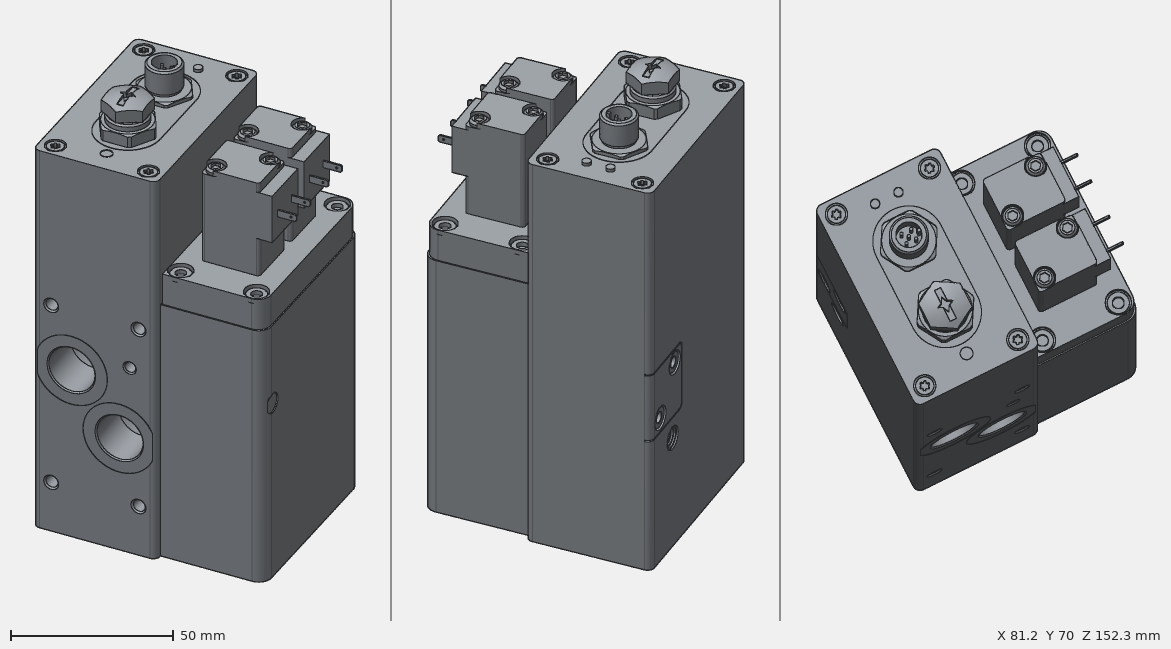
import cadquery as cq
import math

HOUSING_WIDTH = 42.6
HOUSING_DEPTH = 70.0
HOUSING_HEIGHT = 138.9
HOUSING_EDGE_RADIUS = 2.3
HOUSING_MID_X = HOUSING_WIDTH / 2
FRONT_Y = -HOUSING_DEPTH / 2

PORT_CENTERS = [(13.1, 61.2), (29.7, 41.1)]
PORT_DIAMETER = 15.8
PORT_MOUTH_DIAMETER = 16.7
PORT_DEPTH = 15.2
PORT_FACE_DIAMETER = 25.0
PORT_FACE_DEPTH = 0.2
MOUNT_HOLE_SPACING = (30.1, 65.2)
MOUNT_HOLE_CENTER = (21.3, 50.5)
PILOT_HOLE_CENTER = (33.3, 68.0)
MOUNT_HOLE_DIAMETER = 4.1
MOUNT_HOLE_MOUTH_DIAMETER = 5.2
PILOT_HOLE_DIAMETER = 3.7
PILOT_HOLE_MOUTH_DIAMETER = 4.5
MOUNT_HOLE_DEPTH = 7.6
DRILL_POINT_ANGLE = 118.0

TOP_SCREW_SPACING = (32.1, 60.3)
TOP_SCREW_POCKET = 6.9
TOP_SCREW_POCKET_DEPTH = 0.8
TOP_SCREW_HEAD = 5.6
TOP_SCREW_DROP = 0.2
TOP_SCREW_DRIVE = 3.2
TOP_SCREW_DRIVE_DEPTH = 1.5
CONNECTOR_OFFSET = 12.5
RECESS_WIDTH = 22.2
RECESS_DEPTH = 0.2
LAMP_SPACING = 8.0
LAMP_Y = 27.5
LAMP_DIAMETER = 2.9
LAMP_HEIGHT = 1.0
BUTTON_Y = -27.0
BUTTON_DIAMETER = 4.0
BUTTON_DEPTH = 0.3

PANEL_EDGE_Y = 12.5
PANEL_BOTTOM = 47.5
PANEL_TOP = 71.7
PANEL_CORNER_RADIUS = 2.0
PANEL_GROOVE_WIDTH = 0.5
PANEL_GROOVE_DEPTH = HOUSING_EDGE_RADIUS
PANEL_SCREWS = [(17.7, 66.7), (28.2, 52.5)]
PANEL_SCREW_POCKET = 8.0
PANEL_SCREW_POCKET_DEPTH = 1.2
PANEL_SCREW_HEAD = 7.0
PANEL_SCREW_DROP = 0.5
PANEL_SCREW_BORE = 3.7
PANEL_SCREW_BORE_MOUTH = 4.0
PANEL_SCREW_BORE_DEPTH = 1.5
SIDE_HOLE = (19.2, 39.9)
SIDE_HOLE_DIAMETERS = [8.0, 6.9, 5.6, 4.1, 2.5]
SIDE_HOLE_STEP = 0.6

NUT_FLATS = 17.0
NUT_CORNER_DIAMETER = 19.0
NUT_TOP_DIAMETER = 16.7
NUT_CHAMFER_HEIGHT = 0.5
SOCKET_NUT_HEIGHT = 1.4
PLUG_NUT_HEIGHT = 4.3

SOCKET_DIAMETER = 12.0
SOCKET_NECK_DIAMETER = 11.0
SOCKET_NECK_TOP = 2.5
SOCKET_HEIGHT = 10.7
SOCKET_CHAMFER = 0.6
SOCKET_BORE_DIAMETER = 8.0
SOCKET_BORE_DEPTH = 6.9
SOCKET_KEY_SIZE = 1.0
CONTACT_DIAMETER = 1.0
CONTACT_OFFSET = 1.7
CONTACT_LENGTH = 4.5

PLUG_CROWN = 0.05
PLUG_HEIGHT = 152.3 - HOUSING_HEIGHT + RECESS_DEPTH + PLUG_CROWN
PLUG_COLLAR_DIAMETER = 14.3
PLUG_COLLAR_TOP = 6.5
PLUG_COLLAR_CHAMFER = 0.6
PLUG_NECK_DIAMETER = 11.4
PLUG_HEAD_BOTTOM = 7.6
PLUG_HEAD_FLATS = 14.3
PLUG_CORNER_TOP = 11.5
PLUG_SLOT_WIDTH = 2.1
PLUG_SLOT_LENGTH = 10.8
PLUG_SLOT_DEPTH = 1.0
PLUG_CROSS_REACH = 2.6
PLUG_CROSS_WAIST = 1.2
PLUG_CROSS_DEPTH = 2 * PLUG_SLOT_DEPTH

BLOCK_LENGTH = 36.1
BLOCK_DEPTH = 64.7
BLOCK_HEIGHT = 92.6
BLOCK_CORNER_RADIUS = 4.4
BLOCK_RECESS_Y = -27.0
BLOCK_RECESS_Z = 63.8
BLOCK_RECESS_DIAMETER = 6.9
BLOCK_RECESS_DEPTH = 0.5
COVER_INSET = 0.5
COVER_TOP = 103.7
COVER_SCREW_SPACING = (26.2, 55.1)
COVER_SCREW_MID_X = 60.3
COVER_SCREW_POCKET = 8.0
COVER_SCREW_POCKET_DEPTH = 1.8
COVER_SCREW_HEAD = 6.9
COVER_SCREW_DROP = 0.9
COVER_SCREW_SOCKET = 3.7
COVER_SCREW_SOCKET_DEPTH = 1.5

COIL_LEFT = 50.2
COIL_STEM_RIGHT = 70.3
COIL_HEAD_RIGHT = 74.8
COIL_WIDTH = 17.5
COIL_PITCH = 21.8
COIL_HEAD_BOTTOM = 117.4
COIL_HEAD_TOP = 134.5
COIL_LID_TOP = 137.8
COIL_CORNER_RADIUS = 1.0
COIL_SCREW_INSET = 3.3
COIL_SCREW_POCKET = 6.9
COIL_POCKET_DEPTH = 2.0
COIL_SCREW_HEAD = 6.1
COIL_SCREW_DROP = 0.3
COIL_SCREW_CHAMFER = 0.8
COIL_SCREW_SOCKET = 2.9
COIL_SCREW_SOCKET_FLOOR = 0.8
PIN_END = 81.2
PIN_Z = 126.0
PIN_HEIGHT = 2.5
PIN_THICKNESS = 0.6
PIN_PITCH = 9.3
PIN_TIP_CHAMFER = 0.5
PIN_HOLE_DIAMETER = 0.6
PIN_HOLE_INSET = 1.8

DRIVE_LOBE_RATIO = 0.25
DRIVE_CORE_RATIO = 0.7


def cylinder(diameter, height):
    """Cylinder standing on Z = 0."""
    return cq.Workplane("XY").circle(diameter / 2).extrude(height)


def block(x_range, y_range, z_range):
    """Box between pairs of X, Y and Z limits."""
    size = [high - low for low, high in (x_range, y_range, z_range)]
    return cq.Workplane("XY").box(*size, centered=False).translate((x_range[0], y_range[0], z_range[0]))


def rectangle_points(spacing, center=(0, 0)):
    """The four corners of a rectangle."""
    return [
        (center[0] + side * spacing[0] / 2, center[1] + end * spacing[1] / 2)
        for side in (-1, 1)
        for end in (-1, 1)
    ]


def revolved(profile):
    """Solid of revolution about Z from a closed (radius, z) outline."""
    return cq.Workplane("XZ").polyline(profile).close().revolve(360, (0, 0), (0, 1))


def drilled_hole(diameter, mouth_diameter, depth):
    """Cutter going down from Z = 0: chamfered mouth, bore and conical drill point."""
    radius = diameter / 2
    mouth_radius = mouth_diameter / 2
    point_length = radius / math.tan(math.radians(DRILL_POINT_ANGLE / 2))
    return revolved([
        (0, 0),
        (mouth_radius, 0),
        (radius, radius - mouth_radius),
        (radius, -depth),
        (0, -depth - point_length),
    ])


def screw_recess(pocket_diameter, pocket_depth, head_diameter, head_drop, drive):
    """Cutter going down from Z = 0 that leaves a screw head with a drive in a round pocket."""
    pocket = cylinder(pocket_diameter, pocket_depth).translate((0, 0, -pocket_depth))
    head_height = pocket_depth - head_drop
    head = cylinder(head_diameter, head_height).translate((0, 0, -pocket_depth))
    return pocket.cut(head).union(drive.translate((0, 0, -head_drop)))


def lobed_drive(diameter, depth):
    """Six-lobed screw drive cut down from Z = 0."""
    lobe_diameter = diameter * DRIVE_LOBE_RATIO
    reach = (diameter - lobe_diameter) / 2
    drive = cylinder(diameter * DRIVE_CORE_RATIO, depth)
    for index in range(6):
        angle = math.radians(60 * index)
        lobe = cylinder(lobe_diameter, depth)
        drive = drive.union(lobe.translate((reach * math.cos(angle), reach * math.sin(angle), 0)))
    return drive.translate((0, 0, -depth))


def hexagon(flats, height):
    """Hexagonal prism standing on Z = 0, with corners on the X axis."""
    return cq.Workplane("XY").polygon(6, flats / math.cos(math.pi / 6)).extrude(height)


def hex_nut(height):
    """Nut with trimmed corners and a turned top edge."""
    corner_radius = NUT_CORNER_DIAMETER / 2
    turned = revolved([
        (0, 0),
        (corner_radius, 0),
        (corner_radius, height - NUT_CHAMFER_HEIGHT),
        (NUT_TOP_DIAMETER / 2, height),
        (0, height),
    ])
    return hexagon(NUT_FLATS, height).intersect(turned)


def on_front(cutter, x, z):
    """Turn a cutter that goes down so that it goes into the front face."""
    return cutter.rotate((0, 0, 0), (1, 0, 0), 90).translate((x, FRONT_Y, z))


def on_left(cutter, y, z):
    """Turn a cutter that goes down so that it goes into the -X face."""
    return cutter.rotate((0, 0, 0), (0, 1, 0), -90).translate((0, y, z))


def cut_ports(body):
    port = drilled_hole(PORT_DIAMETER, PORT_MOUTH_DIAMETER, PORT_DEPTH)
    facing = cylinder(PORT_FACE_DIAMETER, PORT_FACE_DEPTH).translate((0, 0, -PORT_FACE_DEPTH))
    for x, z in PORT_CENTERS:
        body = body.cut(on_front(facing, x, z))
        body = body.cut(on_front(port.translate((0, 0, -PORT_FACE_DEPTH)), x, z))
    return body


def cut_front_holes(body):
    mount_hole = drilled_hole(MOUNT_HOLE_DIAMETER, MOUNT_HOLE_MOUTH_DIAMETER, MOUNT_HOLE_DEPTH)
    for x, z in rectangle_points(MOUNT_HOLE_SPACING, MOUNT_HOLE_CENTER):
        body = body.cut(on_front(mount_hole, x, z))
    pilot_hole = drilled_hole(PILOT_HOLE_DIAMETER, PILOT_HOLE_MOUTH_DIAMETER, MOUNT_HOLE_DEPTH)
    return body.cut(on_front(pilot_hole, *PILOT_HOLE_CENTER))


def panel_outline(inset):
    """Panel slab centred on the groove line, shrunk by the inset."""
    slab = block(
        (0, PANEL_GROOVE_DEPTH),
        (PANEL_EDGE_Y + inset, HOUSING_DEPTH),
        (PANEL_BOTTOM + inset, PANEL_TOP - inset),
    )
    return slab.edges("|X and <Y").fillet(PANEL_CORNER_RADIUS - inset)


def cut_side_panel(body):
    half_groove = PANEL_GROOVE_WIDTH / 2
    body = body.cut(panel_outline(-half_groove).cut(panel_outline(half_groove)))
    bore = drilled_hole(PANEL_SCREW_BORE, PANEL_SCREW_BORE_MOUTH, PANEL_SCREW_BORE_DEPTH)
    panel_screw = screw_recess(
        PANEL_SCREW_POCKET, PANEL_SCREW_POCKET_DEPTH, PANEL_SCREW_HEAD, PANEL_SCREW_DROP, bore
    )
    for y, z in PANEL_SCREWS:
        body = body.cut(on_left(panel_screw, y, z))
    for step, diameter in enumerate(SIDE_HOLE_DIAMETERS, start=1):
        depth = step * SIDE_HOLE_STEP
        step_bore = cylinder(diameter, depth).translate((0, 0, -depth))
        body = body.cut(on_left(step_bore, *SIDE_HOLE))
    return body


def cut_top(body):
    top = HOUSING_HEIGHT
    drive = lobed_drive(TOP_SCREW_DRIVE, TOP_SCREW_DRIVE_DEPTH)
    screw = screw_recess(TOP_SCREW_POCKET, TOP_SCREW_POCKET_DEPTH, TOP_SCREW_HEAD, TOP_SCREW_DROP, drive)
    for x, y in rectangle_points(TOP_SCREW_SPACING, (HOUSING_MID_X, 0)):
        body = body.cut(screw.translate((x, y, top)))
    recess = (
        cq.Workplane("XY")
        .slot2D(2 * CONNECTOR_OFFSET + RECESS_WIDTH, RECESS_WIDTH, 90)
        .extrude(RECESS_DEPTH)
        .translate((HOUSING_MID_X, 0, top - RECESS_DEPTH))
    )
    button = cylinder(BUTTON_DIAMETER, BUTTON_DEPTH).translate((HOUSING_MID_X, BUTTON_Y, top - BUTTON_DEPTH))
    return body.cut(recess).cut(button)


def make_lamps():
    lamp = cylinder(LAMP_DIAMETER, LAMP_HEIGHT)
    left = lamp.translate((HOUSING_MID_X - LAMP_SPACING / 2, LAMP_Y, HOUSING_HEIGHT))
    return left.union(left.translate((LAMP_SPACING, 0, 0)))


def make_cable_socket():
    neck = cylinder(SOCKET_NECK_DIAMETER, SOCKET_NECK_TOP)
    barrel = cylinder(SOCKET_DIAMETER, SOCKET_HEIGHT - SOCKET_NECK_TOP).translate((0, 0, SOCKET_NECK_TOP))
    barrel = barrel.faces(">Z").edges().chamfer(SOCKET_CHAMFER)
    floor_z = SOCKET_HEIGHT - SOCKET_BORE_DEPTH
    bore_radius = SOCKET_BORE_DIAMETER / 2
    body = neck.union(barrel)
    body = body.cut(cylinder(SOCKET_BORE_DIAMETER, SOCKET_BORE_DEPTH).translate((0, 0, floor_z)))
    key_half = SOCKET_KEY_SIZE / 2
    key = block(
        (bore_radius - SOCKET_KEY_SIZE, bore_radius + key_half),
        (-key_half, key_half),
        (floor_z, SOCKET_HEIGHT - SOCKET_CHAMFER),
    )
    body = body.union(key)
    contact = cylinder(CONTACT_DIAMETER, CONTACT_LENGTH).translate((0, 0, floor_z))
    pitch = 2 * CONTACT_OFFSET
    for x, y in [(0, 0)] + rectangle_points((pitch, pitch)):
        body = body.union(contact.translate((x, y, 0)))
    return body.union(hex_nut(SOCKET_NUT_HEIGHT))


def make_plug_head():
    """Hexagon with corners on the Y axis under a domed top."""
    corner_radius = PLUG_HEAD_FLATS / 2 / math.cos(math.pi / 6)
    dome_rise = PLUG_HEIGHT - PLUG_CORNER_TOP
    dome_radius = (corner_radius**2 + dome_rise**2) / (2 * dome_rise)
    dome = cq.Workplane("XY").sphere(dome_radius).translate((0, 0, PLUG_HEIGHT - dome_radius))
    head = hexagon(PLUG_HEAD_FLATS, PLUG_HEIGHT - PLUG_HEAD_BOTTOM)
    head = head.rotate((0, 0, 0), (0, 0, 1), 90).translate((0, 0, PLUG_HEAD_BOTTOM))
    return head.intersect(dome)


def plug_drive():
    """Straight slot along Y crossed by a four-pointed recess."""
    slot = cq.Workplane("XY").rect(PLUG_SLOT_WIDTH, PLUG_SLOT_LENGTH).extrude(PLUG_SLOT_DEPTH)
    points = []
    for index in range(8):
        reach = PLUG_CROSS_WAIST if index % 2 else PLUG_CROSS_REACH
        angle = math.radians(45 * index)
        points.append((reach * math.cos(angle), reach * math.sin(angle)))
    cross = cq.Workplane("XY").polyline(points).close().extrude(PLUG_CROSS_DEPTH)
    return slot.translate((0, 0, PLUG_HEIGHT - PLUG_SLOT_DEPTH)).union(
        cross.translate((0, 0, PLUG_HEIGHT - PLUG_CROSS_DEPTH))
    )


def make_vent_plug():
    collar = cylinder(PLUG_COLLAR_DIAMETER, PLUG_COLLAR_TOP).faces(">Z").edges().chamfer(PLUG_COLLAR_CHAMFER)
    neck = cylinder(PLUG_NECK_DIAMETER, PLUG_HEAD_BOTTOM)
    body = hex_nut(PLUG_NUT_HEIGHT).union(collar).union(neck).union(make_plug_head())
    return body.cut(plug_drive())


def make_housing():
    body = block((0, HOUSING_WIDTH), (FRONT_Y, -FRONT_Y), (0, HOUSING_HEIGHT))
    body = body.edges("|Z").fillet(HOUSING_EDGE_RADIUS)
    body = cut_top(cut_side_panel(cut_front_holes(cut_ports(body))))
    seat_z = HOUSING_HEIGHT - RECESS_DEPTH
    cable_socket = make_cable_socket().translate((HOUSING_MID_X, CONNECTOR_OFFSET, seat_z))
    vent_plug = make_vent_plug().translate((HOUSING_MID_X, -CONNECTOR_OFFSET, seat_z))
    return body.union(make_lamps()).union(cable_socket).union(vent_plug)


def rounded_block(inset, bottom, top):
    """Block beside the housing, inset on every side, with rounded edges away from the housing."""
    half_depth = BLOCK_DEPTH / 2 - inset
    left = HOUSING_WIDTH + inset
    right = HOUSING_WIDTH + BLOCK_LENGTH - inset
    body = block((left, right), (-half_depth, half_depth), (bottom, top))
    return body.edges("|Z and >X").fillet(BLOCK_CORNER_RADIUS)


def make_valve_block():
    recess = (
        cq.Workplane("YZ")
        .center(BLOCK_RECESS_Y, BLOCK_RECESS_Z)
        .circle(BLOCK_RECESS_DIAMETER / 2)
        .extrude(BLOCK_RECESS_DEPTH)
        .translate((HOUSING_WIDTH + BLOCK_LENGTH - BLOCK_RECESS_DEPTH, 0, 0))
    )
    return rounded_block(0, 0, BLOCK_HEIGHT).cut(recess)


def make_cover():
    body = rounded_block(COVER_INSET, BLOCK_HEIGHT, COVER_TOP)
    socket = cylinder(COVER_SCREW_SOCKET, COVER_SCREW_SOCKET_DEPTH)
    socket = socket.translate((0, 0, -COVER_SCREW_SOCKET_DEPTH))
    screw = screw_recess(
        COVER_SCREW_POCKET, COVER_SCREW_POCKET_DEPTH, COVER_SCREW_HEAD, COVER_SCREW_DROP, socket
    )
    for x, y in rectangle_points(COVER_SCREW_SPACING, (COVER_SCREW_MID_X, 0)):
        body = body.cut(screw.translate((x, y, COVER_TOP)))
    return body


def make_coil_pin():
    """Flat contact blade with a cross hole near its tip."""
    blade = block(
        (COIL_HEAD_RIGHT, PIN_END),
        (-PIN_THICKNESS / 2, PIN_THICKNESS / 2),
        (PIN_Z - PIN_HEIGHT / 2, PIN_Z + PIN_HEIGHT / 2),
    )
    blade = blade.edges("|Y and >X").chamfer(PIN_TIP_CHAMFER)
    hole = cq.Workplane("XZ").circle(PIN_HOLE_DIAMETER / 2).extrude(PIN_THICKNESS, both=True)
    return blade.cut(hole.translate((PIN_END - PIN_HOLE_INSET, 0, PIN_Z)))


def coil_screw_pocket():
    """Round pocket below Z = 0, open towards the -X and -Y corner of the lid."""
    opening = block(
        (-2 * COIL_SCREW_INSET, 0),
        (-2 * COIL_SCREW_INSET, 0),
        (-COIL_POCKET_DEPTH, 0),
    )
    pocket = cylinder(COIL_SCREW_POCKET, COIL_POCKET_DEPTH).translate((0, 0, -COIL_POCKET_DEPTH))
    return pocket.union(opening)


def make_coil_screw():
    """Chamfered screw head with a hexagon socket, standing on the pocket floor."""
    head = cylinder(COIL_SCREW_HEAD, COIL_POCKET_DEPTH - COIL_SCREW_DROP)
    head = head.faces(">Z").edges().chamfer(COIL_SCREW_CHAMFER)
    socket = hexagon(COIL_SCREW_SOCKET, COIL_POCKET_DEPTH).translate((0, 0, COIL_SCREW_SOCKET_FLOOR))
    return head.cut(socket).translate((0, 0, -COIL_POCKET_DEPTH))


def make_coil():
    """Coil centred on Y = 0: stem and lid in one column, with a head stepping out to +X."""
    half = COIL_WIDTH / 2
    column = block((COIL_LEFT, COIL_STEM_RIGHT), (-half, half), (COVER_TOP, COIL_LID_TOP))
    column = column.edges("|Z").fillet(COIL_CORNER_RADIUS)
    head_left = COIL_STEM_RIGHT - 2 * COIL_CORNER_RADIUS
    head = block((head_left, COIL_HEAD_RIGHT), (-half, half), (COIL_HEAD_BOTTOM, COIL_HEAD_TOP))
    body = column.union(head)
    left_corner = (COIL_LEFT + COIL_SCREW_INSET, COIL_SCREW_INSET - half, COIL_LID_TOP)
    right_corner = (COIL_STEM_RIGHT - COIL_SCREW_INSET, half - COIL_SCREW_INSET, COIL_LID_TOP)
    for place, turn in ((left_corner, 0), (right_corner, 180)):
        body = body.cut(coil_screw_pocket().rotate((0, 0, 0), (0, 0, 1), turn).translate(place))
        body = body.union(make_coil_screw().translate(place))
    for side in (-1, 1):
        body = body.union(make_coil_pin().translate((0, side * PIN_PITCH / 2, 0)))
    return body


housing = make_housing()
valve_block = make_valve_block()
cover = make_cover()
coils = [make_coil().translate((0, side * COIL_PITCH / 2, 0)) for side in (-1, 1)]

result = cq.Compound.makeCompound(
    [housing.val(), valve_block.val(), cover.val(), *[coil.val() for coil in coils]]
)